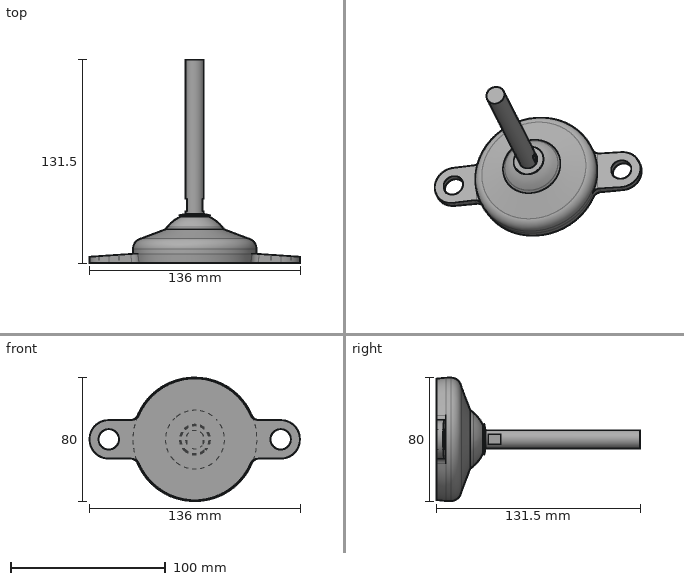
import cadquery as cq
import math

TOTAL_LENGTH = 136.0
TOTAL_HEIGHT = 131.5

BASE_RADIUS = 40.0
BOTTOM_RADIUS = 39.3
DRAFT_HEIGHT = 6.1
RIM_HEIGHT = 9.2
SHOULDER_RADIUS = 34.4
SHOULDER_HEIGHT = 16.0
DOME_SPHERE_RADIUS = 22.6
DOME_CENTER_HEIGHT = 9.5
DOME_TANGENT_HEIGHT = 23.7
CONE_TOP_HEIGHT = 21.9
DOME_TOP_HEIGHT = 30.0

EAR_RADIUS = 12.5
EAR_HOLE_DIAMETER = 13.0
EAR_TIP_HEIGHT = 4.2
EAR_ROOT_FILLET = 5.0
EAR_CENTER = TOTAL_LENGTH / 2 - EAR_RADIUS

ROD_RADIUS = 6.0
COLLAR_BOTTOM_RADIUS = 9.0
COLLAR_RADIUS = 9.9
COLLAR_EDGE_HEIGHT = 31.0
COLLAR_TOP_HEIGHT = 31.8
FLATS_BOTTOM = 33.6
FLATS_LENGTH = 7.9
FLATS_WIDTH = 10.0


def dome_radius(height):
    """Radius of the dome's sphere at a height above the ground."""
    return math.sqrt(DOME_SPHERE_RADIUS**2 - (height - DOME_CENTER_HEIGHT) ** 2)


def revolve_about_axis(profile):
    return profile.close().revolve(360, (0, 0, 0), (0, 1, 0))


def extrude_up(sketch, height):
    """Extrude a sketch on the XZ plane, whose normal is -Y, toward +Y."""
    return sketch.extrude(-height)


def make_foot_body():
    """Round body of the base."""
    tangent_radius = dome_radius(DOME_TANGENT_HEIGHT)
    tangent_slope = (DOME_TANGENT_HEIGHT - DOME_CENTER_HEIGHT) / tangent_radius
    cone_top_radius = tangent_radius + (DOME_TANGENT_HEIGHT - CONE_TOP_HEIGHT) * tangent_slope
    arc_height = (DOME_TANGENT_HEIGHT + DOME_TOP_HEIGHT) / 2
    profile = (
        cq.Workplane("XY")
        .lineTo(BOTTOM_RADIUS, 0)
        .lineTo(BASE_RADIUS, DRAFT_HEIGHT)
        .lineTo(BASE_RADIUS, RIM_HEIGHT)
        .tangentArcPoint((SHOULDER_RADIUS, SHOULDER_HEIGHT), relative=False)
        .lineTo(cone_top_radius, CONE_TOP_HEIGHT)
        .lineTo(tangent_radius, DOME_TANGENT_HEIGHT)
        .threePointArc((dome_radius(arc_height), arc_height), (dome_radius(DOME_TOP_HEIGHT), DOME_TOP_HEIGHT))
        .lineTo(0, DOME_TOP_HEIGHT)
    )
    return revolve_about_axis(profile)


def make_ear_plate():
    """Both ears joined by a drafted disc, with rounded roots and tops that slope down to the tips."""
    disc = revolve_about_axis(
        cq.Workplane("XY")
        .lineTo(BOTTOM_RADIUS, 0)
        .lineTo(BASE_RADIUS, DRAFT_HEIGHT)
        .lineTo(0, DRAFT_HEIGHT)
    )
    bar = extrude_up(cq.Workplane("XZ").slot2D(TOTAL_LENGTH, 2 * EAR_RADIUS), DRAFT_HEIGHT)
    middle_radius = (BOTTOM_RADIUS + BASE_RADIUS) / 2
    root_x = math.sqrt(middle_radius**2 - EAR_RADIUS**2)
    plate = disc.union(bar)
    for x in (-root_x, root_x):
        for z in (-EAR_RADIUS, EAR_RADIUS):
            root = cq.selectors.NearestToPointSelector((x, DRAFT_HEIGHT / 2, z))
            plate = plate.edges(root).fillet(EAR_ROOT_FILLET)
    sloped_envelope = (
        cq.Workplane("XY")
        .moveTo(-TOTAL_LENGTH / 2, 0)
        .lineTo(TOTAL_LENGTH / 2, 0)
        .lineTo(TOTAL_LENGTH / 2, EAR_TIP_HEIGHT)
        .lineTo(BASE_RADIUS, DRAFT_HEIGHT)
        .lineTo(-BASE_RADIUS, DRAFT_HEIGHT)
        .lineTo(-TOTAL_LENGTH / 2, EAR_TIP_HEIGHT)
        .close()
        .extrude(BASE_RADIUS, both=True)
    )
    return plate.intersect(sloped_envelope)


def make_base():
    hole_sketch = cq.Workplane("XZ").pushPoints([(-EAR_CENTER, 0), (EAR_CENTER, 0)])
    holes = extrude_up(hole_sketch.circle(EAR_HOLE_DIAMETER / 2), DRAFT_HEIGHT)
    return make_foot_body().union(make_ear_plate()).cut(holes)


def make_stem():
    profile = (
        cq.Workplane("XY")
        .moveTo(0, DOME_TOP_HEIGHT)
        .lineTo(COLLAR_BOTTOM_RADIUS, DOME_TOP_HEIGHT)
        .lineTo(COLLAR_RADIUS, COLLAR_EDGE_HEIGHT)
        .lineTo(ROD_RADIUS, COLLAR_TOP_HEIGHT)
        .lineTo(ROD_RADIUS, TOTAL_HEIGHT)
        .lineTo(0, TOTAL_HEIGHT)
    )
    stem = revolve_about_axis(profile)
    cutter_height = FLATS_BOTTOM + FLATS_LENGTH / 2
    for side in (-1, 1):
        cutter_x = side * (FLATS_WIDTH / 2 + ROD_RADIUS / 2)
        cutter = cq.Workplane("XY").box(ROD_RADIUS, FLATS_LENGTH, 2 * ROD_RADIUS)
        stem = stem.cut(cutter.translate((cutter_x, cutter_height, 0)))
    return stem


base = make_base()
stem = make_stem()
result = cq.Compound.makeCompound([base.solids().val(), stem.solids().val()])